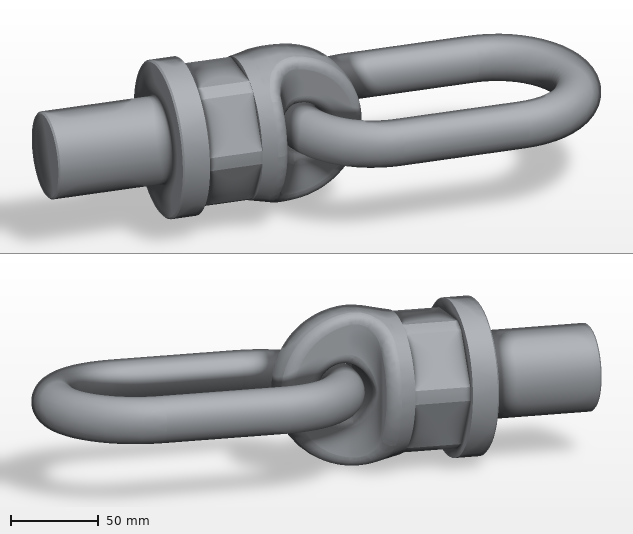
import cadquery as cq
import math


shank_diameter = 50.8
shank_length = 68.0
shank_end_chamfer = 1.0
shank_root_fillet = 0.9
flange_diameter = 92.0
flange_thickness = 16.0
flange_chamfer = 1.0
hex_across_flats = 75.0
hex_corner_diameter = 82.3
hex_length = 33.0

eye_seat = flange_thickness + hex_length
ball_radius = 46.0
ball_center = eye_seat + 25.0
ball_top = ball_center + ball_radius
collar_taper = math.radians(12.5)
collar_top = eye_seat + 16.0
lug_half_width = 13.75
lug_root_radius = 14.0
eye_edge_fillet = 6.0
eye_hole_radius = 15.5
eye_hole_floor_gap = 1.2
eye_hole_center = collar_top + eye_hole_floor_gap + eye_hole_radius

ring_width = 119.0
ring_bar_diameter = 27.0
ring_straight_length = 75.0
ring_top = 262.92
ring_bend_radius = (ring_width - ring_bar_diameter) / 2
ring_upper_bend = ring_top - ring_width / 2
ring_lower_bend = ring_upper_bend - ring_straight_length

selection_margin = 0.1


def edges_within(part, half_x, y_min, y_max, half_z):
    """The edges of a part that lie wholly inside a box centred on the Y axis."""
    low = (-half_x - selection_margin, y_min - selection_margin, -half_z - selection_margin)
    high = (half_x + selection_margin, y_max + selection_margin, half_z + selection_margin)
    return part.edges(cq.selectors.BoxSelector(low, high, boundingbox=True))


def section_at(y):
    """A sketch plane across the bolt axis; extruding from it runs toward -Y."""
    return cq.Workplane("XZ", origin=(0, y, 0))


def make_bolt():
    flange = section_at(flange_thickness).circle(flange_diameter / 2).extrude(flange_thickness)
    flange = flange.faces("<Y").chamfer(flange_chamfer)

    shank = section_at(0).circle(shank_diameter / 2).extrude(shank_length)
    shank = shank.faces("<Y").chamfer(shank_end_chamfer)

    hex_point_diameter = hex_across_flats / math.cos(math.pi / 6)
    corner_limit = section_at(eye_seat).circle(hex_corner_diameter / 2).extrude(hex_length)
    hexagon = section_at(eye_seat).polygon(6, hex_point_diameter).extrude(hex_length)
    hexagon = hexagon.intersect(corner_limit)

    bolt = flange.union(shank).union(hexagon)
    shank_radius = shank_diameter / 2
    return edges_within(bolt, shank_radius, 0, 0, shank_radius).fillet(shank_root_fillet)


def make_eye_blank():
    """Ball whose lower side runs tangentially into the tapered collar."""
    tangent_radius = ball_radius * math.cos(collar_taper)
    tangent_y = ball_center - ball_radius * math.sin(collar_taper)
    seat_radius = tangent_radius - (tangent_y - eye_seat) * math.tan(collar_taper)
    return (
        cq.Workplane("XY")
        .moveTo(0, eye_seat)
        .lineTo(seat_radius, eye_seat)
        .lineTo(tangent_radius, tangent_y)
        .tangentArcPoint((0, ball_top), relative=False)
        .close()
        .revolve(360, (0, 0, 0), (0, 1, 0))
    )


def make_lug_side_cutter():
    """Clears the +X side of the lug and leaves a hollow round at its root."""
    root_end = lug_half_width + lug_root_radius
    beyond_eye = 2 * ball_radius
    return (
        cq.Workplane("XY")
        .moveTo(lug_half_width, ball_top)
        .lineTo(lug_half_width, collar_top + lug_root_radius)
        .radiusArc((root_end, collar_top), -lug_root_radius)
        .lineTo(beyond_eye, collar_top)
        .lineTo(beyond_eye, ball_top)
        .close()
        .extrude(beyond_eye, both=True)
    )


def make_eye():
    side_cutter = make_lug_side_cutter()
    eye = make_eye_blank().cut(side_cutter).cut(side_cutter.mirror("YZ"))

    eye = eye.faces("|X").edges("%CIRCLE").fillet(eye_edge_fillet)

    hole = (
        cq.Workplane("YZ")
        .center(eye_hole_center, 0)
        .circle(eye_hole_radius)
        .extrude(2 * ball_radius, both=True)
    )
    eye = eye.cut(hole)
    hole_edges = edges_within(
        eye,
        lug_half_width + lug_root_radius,
        eye_hole_center - eye_hole_radius,
        eye_hole_center + eye_hole_radius,
        eye_hole_radius,
    )
    return hole_edges.fillet(eye_edge_fillet)


def make_ring():
    center_line = (
        cq.Workplane("XY")
        .moveTo(ring_bend_radius, ring_lower_bend)
        .lineTo(ring_bend_radius, ring_upper_bend)
        .tangentArcPoint((-ring_bend_radius, ring_upper_bend), relative=False)
        .lineTo(-ring_bend_radius, ring_lower_bend)
        .tangentArcPoint((ring_bend_radius, ring_lower_bend), relative=False)
        .wire()
    )
    bar = cq.Workplane("XZ", origin=(ring_bend_radius, ring_lower_bend, 0))
    return bar.circle(ring_bar_diameter / 2).sweep(center_line)


bolt = make_bolt()
eye = make_eye()
ring = make_ring()

result = cq.Compound.makeCompound([body.solids().val() for body in (bolt, eye, ring)])